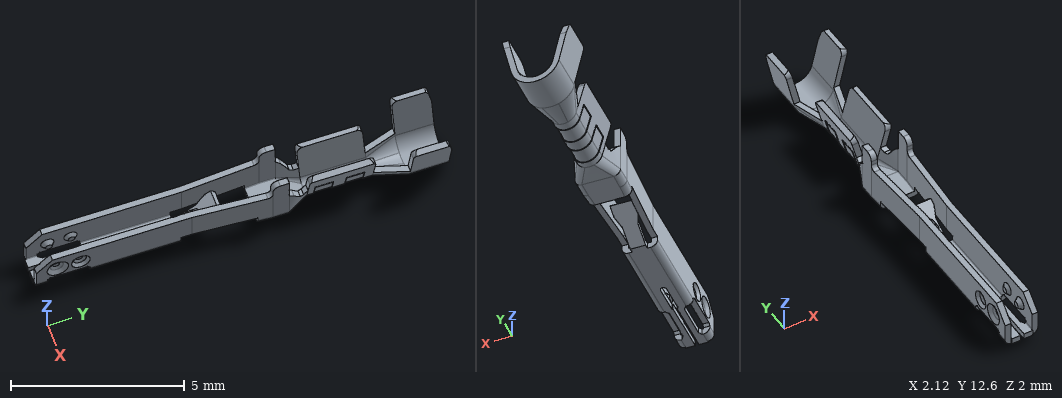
import cadquery as cq
import math

LENGTH = 12.63
HEIGHT = 2.0
STOCK = 0.2
BELLY_RISE = 0.19
SIDE_CUT = 3.79

INSULATION_START = 11.43
CONDUCTOR_END = 10.41
CONDUCTOR_START = 8.39
HEAD_END = 7.74
HEAD_START = 7.24
WINDOW_END = 6.78
TAPER_START = 4.81
WINDOW_START = 4.47
RAIL_START = 0.04

INSULATION_HALF_WIDTH = 1.06
INSULATION_LEAN = 13.0
CONDUCTOR_HALF_WIDTH = 0.7
CONDUCTOR_LEAN = 15.0
CONDUCTOR_TOP = 1.67
FLOOR_SPLIT = 20.0
WING_ROUND = 0.19
REAR_SLANT_BOTTOM = 1.58
REAR_SLANT_TOP = 1.9
REAR_SLANT_DEPTH = 0.06
REAR_TIP_DEPTH = 0.15
REAR_NECK_TOP = 0.72
FRONT_NECK_TOP = 1.29
FRONT_NECK_DIP = ((CONDUCTOR_START, 0.91), (8.23, 0.83), (8.12, 0.83), (7.9, 1.16))

SERRATION_STARTS = (8.6, 9.56)
SERRATION_LENGTH = 0.55
SERRATION_TOP = 1.0
SERRATION_DEPTH = 0.03

HEAD_HALF_WIDTH = 0.71
RAIL_HALF_WIDTH = 0.55
RAIL_INNER = RAIL_HALF_WIDTH - STOCK
BOX_CORNER = 0.21
RAIL_TOP = 1.48
RAIL_BOTTOM = 0.53
NOSE_CHAMFER = 0.49
HEAD_ROUND = 0.23
HEAD_FILLET = 0.15

SLOT_END = 2.7
SLOT_WIDTH = 0.19
FINGER_GAP_END = 1.72
FINGER_GAP = 0.11
FINGER_HALF_WIDTH = 0.24
RELIEF_START = 0.39
RELIEF_END = 1.69
RELIEF_TOP = 0.5
RELIEF_CHAMFER = 0.08

TONGUE_BEND = 4.61
TONGUE_ANGLE = 29.5
TONGUE_END = 5.85
TONGUE_TOP_END = 5.71
TONGUE_NECK_HALF = 0.24
TONGUE_TIP_HALF = 0.38
TONGUE_FLARE_START = 5.19
TONGUE_FLARE_END = 5.53
TONGUE_BUMP_DIAMETER = 0.29
TONGUE_BUMP_Y = 4.91
TONGUE_BUMP_Z = 0.63
TONGUE_BUMP_END = 5.19

DIMPLES = ((0.7, 0.66, 0.14), (1.4, 0.57, 0.1))
DIMPLE_Z = 0.91
DIMPLE_THROAT = 0.4
DIMPLE_TIP = 0.2


def barrel(half_width, top, lean, bottom):
    """Round channel whose straight wings lean outward and reach half_width at the tips."""
    angle = math.radians(lean)
    tip_height = top - bottom - STOCK * math.sin(angle)
    radius = (half_width * math.cos(angle) - tip_height * math.sin(angle)) / (1 - math.sin(angle))
    split = math.radians(FLOOR_SPLIT)
    return {"center_x": 0, "radius": radius, "lean": angle, "split": split, "bottom": bottom}


def box(half_width):
    """Flat-floored channel with upright walls."""
    return {"center_x": half_width - BOX_CORNER, "radius": BOX_CORNER, "lean": 0, "split": 0, "bottom": BELLY_RISE}


def half_outline(channel, inset, top):
    """Right half of a channel outline: wing tip, wing root, corner middle, floor edge, floor middle."""
    radius = channel["radius"] - inset
    center_x = channel["center_x"]
    center_z = channel["bottom"] + channel["radius"]
    lean = channel["lean"]
    split = channel["split"]

    def on_corner(angle):
        return (center_x + radius * math.sin(angle), center_z - radius * math.cos(angle))

    root_angle = math.pi / 2 - lean
    root = on_corner(root_angle)
    tip = (root[0] + (top - root[1]) * math.tan(lean), top)
    return [tip, root, on_corner((root_angle + split) / 2), on_corner(split), (0, center_z - radius)]


def mirrored(point):
    return (-point[0], point[1])


def section(sketch, channel, top, tip_drop=0, outer_inset=0, inner_inset=STOCK):
    """Draw the closed channel section; tip_drop lowers the outer wing corners."""
    outer = half_outline(channel, outer_inset, top - tip_drop)
    inner = half_outline(channel, inner_inset, top)

    def floor(sketch, middle, end):
        if channel["split"]:
            return sketch.threePointArc(middle, end)
        return sketch.lineTo(*end)

    tip, root, corner, edge, middle = outer
    sketch = sketch.moveTo(*tip).lineTo(*root).threePointArc(corner, edge)
    sketch = floor(sketch, middle, mirrored(edge))
    sketch = sketch.threePointArc(mirrored(corner), mirrored(root)).lineTo(*mirrored(tip))
    tip, root, corner, edge, middle = inner
    sketch = sketch.lineTo(*mirrored(tip)).lineTo(*mirrored(root)).threePointArc(mirrored(corner), mirrored(edge))
    sketch = floor(sketch, middle, edge)
    return sketch.threePointArc(corner, root).lineTo(*tip).close()


def cross_plane(y):
    return cq.Workplane("XZ", origin=(0, y, 0))


def prism(channel, start, end, top, **insets):
    """Channel of constant section between two stations."""
    return section(cross_plane(start), channel, top, **insets).extrude(start - end)


def blend(channel_a, start, channel_b, end, top):
    """Straight transition between two channel sections."""
    sketch = section(cross_plane(start), channel_a, top).workplane(offset=start - end)
    return section(sketch, channel_b, top).loft(ruled=True)


def side_profile(points):
    """Closed Y-Z outline carried through the full width."""
    return cq.Workplane("YZ").polyline(points).close().extrude(SIDE_CUT / 2, both=True)


def block(half_width, start, end, bottom, top):
    size = (2 * half_width, end - start, top - bottom)
    return cq.Workplane("XY").box(*size, centered=(True, False, False)).translate((0, start, bottom))


def crimp(channel, start, end, top):
    """Barrel with rounded wing corners."""
    drop = STOCK * math.sin(channel["lean"])
    outline = block(SIDE_CUT / 2, start, end, -STOCK, top).edges("|X and >Z").fillet(WING_ROUND)
    return prism(channel, start, end, top, tip_drop=drop).intersect(outline)


def rear_slant():
    """Cutter that slopes the rear edge of the insulation wings forward near the tips."""
    return side_profile([
        (LENGTH, REAR_SLANT_BOTTOM),
        (LENGTH - REAR_SLANT_DEPTH, REAR_SLANT_TOP),
        (LENGTH - REAR_TIP_DEPTH, HEIGHT),
        (LENGTH, HEIGHT),
    ])


def serration(start):
    """Cutter for a shallow band around the outside of the conductor barrel."""
    return prism(conductor, start, start + SERRATION_LENGTH, SERRATION_TOP,
                 outer_inset=-SERRATION_DEPTH, inner_inset=SERRATION_DEPTH)


def front_neck():
    """Neck between the conductor barrel and the box, dipped along its upper edges."""
    neck = blend(box(HEAD_HALF_WIDTH), HEAD_END, conductor, CONDUCTOR_START, FRONT_NECK_TOP)
    top_edge = [*FRONT_NECK_DIP, (HEAD_END, FRONT_NECK_TOP), (HEAD_END, HEIGHT), (CONDUCTOR_START, HEIGHT)]
    return neck.cut(side_profile(top_edge))


def contact_body():
    """Box head and rails, without floor openings."""
    head = box(HEAD_HALF_WIDTH)
    rails = box(RAIL_HALF_WIDTH)
    body = prism(head, HEAD_START, HEAD_END, HEIGHT)
    body = body.union(blend(rails, TAPER_START, head, HEAD_START, HEIGHT))
    body = body.union(prism(rails, 0, TAPER_START, HEIGHT))
    outline = (
        cq.Workplane("YZ")
        .moveTo(RAIL_START, 0)
        .lineTo(RAIL_START, RAIL_TOP - NOSE_CHAMFER)
        .lineTo(RAIL_START + NOSE_CHAMFER, RAIL_TOP)
        .lineTo(HEAD_START - HEAD_FILLET, RAIL_TOP)
        .radiusArc((HEAD_START, RAIL_TOP + HEAD_FILLET), -HEAD_FILLET)
        .lineTo(HEAD_START, HEIGHT - HEAD_ROUND)
        .radiusArc((HEAD_START + HEAD_ROUND, HEIGHT), HEAD_ROUND)
        .lineTo(HEAD_END, HEIGHT)
        .lineTo(HEAD_END, 0)
        .close()
        .extrude(SIDE_CUT / 2, both=True)
    )
    floor_ends = block(RAIL_INNER, 0, RAIL_START, 0, BELLY_RISE + STOCK)
    return body.intersect(outline.union(floor_ends))


def finger_slot():
    """Round-ended slot that narrows between the two floor fingers."""
    floor_top = BELLY_RISE + STOCK
    round_y = SLOT_END - SLOT_WIDTH / 2
    slot = block(FINGER_GAP / 2, 0, FINGER_GAP_END, 0, floor_top)
    slot = slot.union(block(SLOT_WIDTH / 2, FINGER_GAP_END, round_y, 0, floor_top))
    return slot.union(cq.Workplane("XY").center(0, round_y).circle(SLOT_WIDTH / 2).extrude(floor_top))


def finger_relief(side):
    """Opening through a rail's lower corner that frees the finger's outer edge."""
    depth = RAIL_HALF_WIDTH - FINGER_HALF_WIDTH
    cutter = block(depth / 2, RELIEF_START, RELIEF_END, 0, RELIEF_TOP)
    cutter = cutter.translate((FINGER_HALF_WIDTH + depth / 2, 0, 0))
    cutter = cutter.edges("|Z and <X").chamfer(RAIL_INNER - FINGER_HALF_WIDTH, RELIEF_CHAMFER)
    cutter = cutter.edges("|X and >Z").chamfer(RELIEF_CHAMFER)
    return cutter if side > 0 else cutter.mirror("YZ")


def tongue():
    """Flared tongue rising from the floor toward the window, with a small bump on its slope."""
    angle = math.radians(TONGUE_ANGLE)
    floor_top = BELLY_RISE + STOCK
    tip_z = BELLY_RISE + (TONGUE_END - TONGUE_BEND) * math.tan(angle)
    top_z = floor_top + (TONGUE_TOP_END - TONGUE_BEND) * math.tan(angle)
    slab = side_profile([
        (WINDOW_START, BELLY_RISE),
        (TONGUE_BEND, BELLY_RISE),
        (TONGUE_END, tip_z),
        (TONGUE_TOP_END, top_z),
        (TONGUE_BEND, floor_top),
        (WINDOW_START, floor_top),
    ])
    right_edge = [
        (TONGUE_NECK_HALF, WINDOW_START),
        (TONGUE_NECK_HALF, TONGUE_FLARE_START),
        (TONGUE_TIP_HALF, TONGUE_FLARE_END),
        (TONGUE_TIP_HALF, TONGUE_END),
    ]
    left_edge = [mirrored(point) for point in reversed(right_edge)]
    plan = cq.Workplane("XY").polyline(right_edge + left_edge).close().extrude(HEIGHT)
    bump_radius = TONGUE_BUMP_DIAMETER / 2
    bump = cross_plane(TONGUE_BUMP_Y).center(0, TONGUE_BUMP_Z).circle(bump_radius)
    bump = bump.extrude(TONGUE_BUMP_Y - TONGUE_BUMP_END)
    bump = bump.union(cq.Workplane("XY").sphere(bump_radius).translate((0, TONGUE_BUMP_Y, TONGUE_BUMP_Z)))
    below = side_profile([(WINDOW_START, 0), (TONGUE_BEND, BELLY_RISE), (TONGUE_END, tip_z), (TONGUE_END, 0)])
    return slab.intersect(plan).union(bump.cut(below))


def cone(y, x_wide, wide, x_narrow, narrow):
    """Cone along X between two diameters."""
    direction = cq.Vector(x_narrow - x_wide, 0, 0)
    solid = cq.Solid.makeCone(wide / 2, narrow / 2, direction.Length, cq.Vector(x_wide, y, DIMPLE_Z), direction)
    return cq.Workplane(solid)


def add_dimple(body, side, y, mouth, bump_height):
    """Press a dimple into a rail: a bump inside and a stepped conical hollow outside."""
    outer = side * RAIL_HALF_WIDTH
    inner = side * RAIL_INNER
    shoulder = side * (RAIL_HALF_WIDTH - STOCK / 2)
    hollow_end = side * (RAIL_INNER + STOCK / 4)
    body = body.union(cone(y, inner, DIMPLE_THROAT, inner - side * bump_height, DIMPLE_TIP))
    body = body.cut(cone(y, outer, mouth, shoulder, DIMPLE_THROAT))
    return body.cut(cone(y, shoulder, DIMPLE_THROAT, hollow_end, DIMPLE_TIP))


insulation = barrel(INSULATION_HALF_WIDTH, HEIGHT, INSULATION_LEAN, 0)
conductor = barrel(CONDUCTOR_HALF_WIDTH, CONDUCTOR_TOP, CONDUCTOR_LEAN, BELLY_RISE)

contact = contact_body()
contact = contact.cut(block(SIDE_CUT / 2, WINDOW_START, WINDOW_END, 0, RAIL_BOTTOM))
contact = contact.cut(finger_slot())
for side in (-1, 1):
    contact = contact.cut(finger_relief(side))
    for y, mouth, bump_height in DIMPLES:
        contact = add_dimple(contact, side, y, mouth, bump_height)
contact = contact.union(tongue())

conductor_crimp = crimp(conductor, CONDUCTOR_START, CONDUCTOR_END, CONDUCTOR_TOP)
for start in SERRATION_STARTS:
    conductor_crimp = conductor_crimp.cut(serration(start))
insulation_crimp = crimp(insulation, INSULATION_START, LENGTH, HEIGHT).cut(rear_slant())
rear_neck = blend(conductor, CONDUCTOR_END, insulation, INSULATION_START, REAR_NECK_TOP)

result = contact.union(front_neck()).union(conductor_crimp).union(rear_neck).union(insulation_crimp)